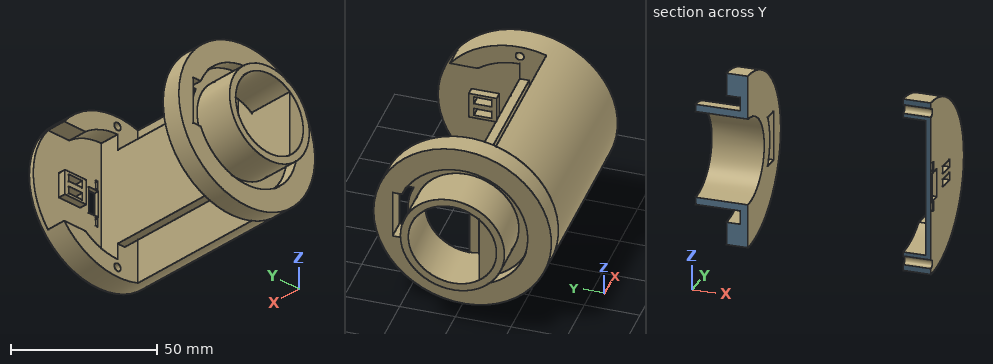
import cadquery as cq
import math

LENGTH = 86.2
OUTER_DIAMETER = 64.0
COLLAR_START = 11.3
COLLAR_END = 19.2
END_BLOCK_START = 76.0
END_WALL = 2.1
END_WALL_START = LENGTH - END_WALL

TUBE_DIAMETER = 37.4
BORE_DIAMETER = 31.7
GROOVE_DIAMETER = 47.0
GROOVE_DEPTH = 5.0

NOTCH_TOP = 25.1
NOTCH_WIDTH = 18.1
NOTCH_INNER_DIAMETER = 42.5

BAY_FLOOR = -9.6
END_BLOCK_TOP = NOTCH_TOP

RIB_THICKNESS = 3.4
RIB_WIDTH = TUBE_DIAMETER

RECESS_DIAMETER = 49.8
RECESS_MOUTH_WIDTH = 39.65

BOSS_START = 81.1
BOSS_BOTTOM = 9.9
BOSS_TOP = 19.9
BOSS_WIDTH = 9.8
PORT_MARGIN = 1.8
PORT_WIDTH = 2.8
PORT_OFFSET = 2.4

WINDOW_BOTTOM = 1.4
WINDOW_TOP = 5.9
WINDOW_WIDTH = 10.35
SLOT_BOTTOM = 1.6
SLOT_TOP = 2.7
SLOT_LENGTH = 3.3
SLOT_OFFSET = 7.4

SCREW_DIAMETER = 3.0
SCREW_OFFSET = 28.1


def cylinder(diameter, start, end):
    """Cylinder on the X axis between two X positions."""
    return cq.Workplane("YZ", origin=(start, 0, 0)).circle(diameter / 2).extrude(end - start)


def block(x_range, y_range, width, z_center=0):
    """Block between X and Y limits, centred on z_center."""
    length = x_range[1] - x_range[0]
    height = y_range[1] - y_range[0]
    center = (sum(x_range) / 2, sum(y_range) / 2, z_center)
    return cq.Workplane("XY").box(length, height, width).translate(center)


def make_nose():
    """Collar with the nose tube, the groove around the tube and the cable notch."""
    nose = cylinder(OUTER_DIAMETER, COLLAR_START, COLLAR_END)
    nose = nose.cut(cylinder(GROOVE_DIAMETER, COLLAR_START, COLLAR_START + GROOVE_DEPTH))
    notch = block((COLLAR_START, COLLAR_END), (0, NOTCH_TOP), NOTCH_WIDTH)
    nose = nose.cut(notch.cut(cylinder(NOTCH_INNER_DIAMETER, COLLAR_START, COLLAR_END)))
    nose = nose.union(cylinder(TUBE_DIAMETER, 0, COLLAR_END))
    return nose.cut(cylinder(BORE_DIAMETER, 0, COLLAR_END))


def make_tongue():
    """Round segment that fills the -Y side of the nose bore."""
    tongue = cylinder(BORE_DIAMETER, 0, COLLAR_END)
    return tongue.cut(block((0, COLLAR_END), (BAY_FLOOR, BORE_DIAMETER / 2), BORE_DIAMETER))


def make_recess():
    """Rounded recess above the axis plane, with a straight-sided mouth."""
    x_range = (END_BLOCK_START, END_WALL_START)
    round_part = cylinder(RECESS_DIAMETER, *x_range)
    round_part = round_part.intersect(block(x_range, (0, RECESS_DIAMETER / 2), RECESS_DIAMETER))
    mouth_start = math.sqrt((RECESS_DIAMETER / 2) ** 2 - (RECESS_MOUTH_WIDTH / 2) ** 2)
    return round_part.union(block(x_range, (mouth_start, END_BLOCK_TOP), RECESS_MOUTH_WIDTH))


def cut_end_openings(body):
    """Cut the ports, window, slots and screw holes along X."""
    x_range = (END_BLOCK_START, LENGTH)
    port_y = (BOSS_BOTTOM + PORT_MARGIN, BOSS_TOP - PORT_MARGIN)
    body = body.cut(block(x_range, (WINDOW_BOTTOM, WINDOW_TOP), WINDOW_WIDTH))
    for side in (-1, 1):
        body = body.cut(block(x_range, port_y, PORT_WIDTH, side * PORT_OFFSET))
        body = body.cut(block(x_range, (SLOT_BOTTOM, SLOT_TOP), SLOT_LENGTH, side * SLOT_OFFSET))
        body = body.cut(cylinder(SCREW_DIAMETER, *x_range).translate((0, 0, side * SCREW_OFFSET)))
    return body


def make_housing():
    """Half-round body with its end block, rib and tongue."""
    radius = OUTER_DIAMETER / 2
    bay_x = (COLLAR_END, END_BLOCK_START)
    body = cylinder(OUTER_DIAMETER, COLLAR_END, LENGTH)
    body = body.cut(block(bay_x, (BAY_FLOOR, radius), OUTER_DIAMETER))
    body = body.cut(block((END_BLOCK_START, END_WALL_START), (END_BLOCK_TOP, radius), OUTER_DIAMETER))
    body = body.cut(make_recess())
    body = body.union(block((BOSS_START, END_WALL_START), (BOSS_BOTTOM, BOSS_TOP), BOSS_WIDTH))
    body = cut_end_openings(body)
    body = body.union(block(bay_x, (-RIB_THICKNESS, 0), RIB_WIDTH))
    return body.union(make_tongue())


nose = make_nose()
housing = make_housing()
result = cq.Compound.makeCompound([nose.solids().val(), housing.solids().val()])